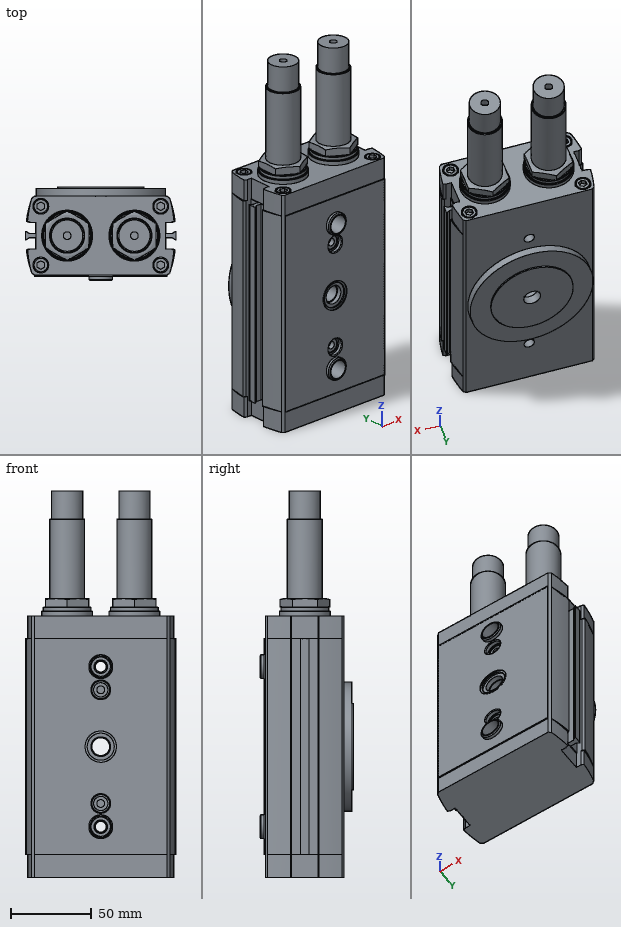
import cadquery as cq
import math


housing_height = 163.4
cap_height = 14.2
body_height = housing_height - 2 * cap_height
half_depth = 24.5
front_raise = 0.7
front_y = -half_depth - front_raise
front_half_width = 41.5
corner_half_width = 43.2
corner_height = 1.5
body_half_width = 47.0
cap_half_width = 46.0

channel_half_height = 8.2
channel_mouth_depth = 2.5
channel_mouth_widening = 1.0
body_channel_floor = 40.8
cap_channel_floor = 40.3
rib_neck = 3.0
rib_head = 5.3
rib_flare_start = 44.6
rib_head_start = 46.5

screw_x = 37.5
screw_y = 18.3
screw_hole_diameter = 10.0
screw_head_diameter = 8.5
screw_gap_depth = 1.2
screw_socket_width = 4.5
screw_socket_depth = 3.0

rotor_z = housing_height / 2

sleeve_offset = 50.0
sleeve_diameter = 15.0
sleeve_projection = 2.7
sleeve_chamfer = 0.7
sleeve_bore = 12.0
sleeve_bore_depth = 17.0
through_bore = 6.8
through_countersink = 8.5

port_offset = 35.5
port_mouth_diameter = 12.3
port_recess_diameter = 11.0
port_recess_depth = 3.0
port_bore = 9.0
port_bore_depth = 3.5
port_channel = 4.8
port_channel_depth = 7.2

centre_mouth_diameter = 19.5
centre_mouth_depth = 0.7
centre_recess_diameter = 17.0
centre_recess_depth = 1.7
centre_bore = 12.3
centre_bore_depth = 4.8
centre_through = 11.0

flange_diameter = 80.8
flange_thickness = 4.8
pilot_diameter = 54.0
pilot_height = 1.0

damper_spacing = 42.0
seal_diameter = 31.9
seal_top = 166.5
washer_diameter = 30.0
washer_chamfer = 0.5
nut_bottom = 169.0
nut_top = 174.2
nut_across_flats = 27.0
nut_top_diameter = 25.5
nut_chamfer_height = 0.7
barrel_diameter = 22.0
barrel_top = 224.0
barrel_chamfer = 0.5
end_diameter = 19.5
end_top = 241.3
adjuster_diameter = 4.8
adjuster_depth = 4.8

hexagon_ratio = 1 / math.cos(math.pi / 6)


def front_plane(y, z):
    """Plane whose normal points into the housing, along +Y."""
    return cq.Plane(origin=(0, y, z), xDir=(1, 0, 0), normal=(0, 1, 0))


def bore_into(diameter, z, y, depth):
    """Cylinder along +Y that starts at y."""
    return cq.Workplane(front_plane(y, z)).circle(diameter / 2).extrude(depth)


def countersink_into(mouth_diameter, diameter, z, y):
    """45-degree cone along +Y that narrows from mouth_diameter at y to diameter."""
    depth = (mouth_diameter - diameter) / 2
    return cq.Workplane(front_plane(y, z)).circle(mouth_diameter / 2).extrude(depth, taper=45)


def post(diameter, bottom, top):
    """Upright cylinder on the Z axis."""
    return cq.Workplane("XY", origin=(0, 0, bottom)).circle(diameter / 2).extrude(top - bottom)


def bowed_block(half_width, bottom, top):
    """Block with bowed sides and cut corners."""
    side_y = half_depth - corner_height
    return (
        cq.Workplane("XY", origin=(0, 0, bottom))
        .moveTo(-front_half_width, -half_depth)
        .lineTo(front_half_width, -half_depth)
        .lineTo(corner_half_width, -side_y)
        .threePointArc((half_width, 0), (corner_half_width, side_y))
        .lineTo(front_half_width, half_depth)
        .lineTo(-front_half_width, half_depth)
        .lineTo(-corner_half_width, side_y)
        .threePointArc((-half_width, 0), (-corner_half_width, -side_y))
        .close()
        .extrude(top - bottom)
    )


def channel(floor, half_width, bottom, top):
    """Cutter for the +X side channel, with a slightly flared mouth."""
    mouth_start = half_width - channel_mouth_depth
    mouth_half_height = channel_half_height + channel_mouth_widening
    return (
        cq.Workplane("XY", origin=(0, 0, bottom))
        .polyline([
            (floor, -channel_half_height),
            (mouth_start, -channel_half_height),
            (half_width, -mouth_half_height),
            (half_width, mouth_half_height),
            (mouth_start, channel_half_height),
            (floor, channel_half_height),
        ])
        .close()
        .extrude(top - bottom)
    )


def dovetail_rib():
    """Rib on the floor of the +X side channel, widest at its outer face."""
    upper_side = [
        (body_channel_floor, rib_neck / 2),
        (rib_flare_start, rib_neck / 2),
        (rib_head_start, rib_head / 2),
        (body_half_width, rib_head / 2),
    ]
    lower_side = [(x, -y) for x, y in reversed(upper_side)]
    return (
        cq.Workplane("XY", origin=(0, 0, cap_height))
        .polyline(upper_side + lower_side)
        .close()
        .extrude(body_height)
    )


def make_cap(bottom):
    top = bottom + cap_height
    cap = bowed_block(cap_half_width, bottom, top)
    cutter = channel(cap_channel_floor, cap_half_width, bottom, top)
    return cap.cut(cutter).cut(cutter.mirror("YZ"))


def make_body():
    body_top = cap_height + body_height
    raised_front = (
        cq.Workplane("XY", origin=(0, front_y, cap_height))
        .box(2 * front_half_width, half_depth, body_height, centered=(True, False, False))
    )
    body = bowed_block(body_half_width, cap_height, body_top).union(raised_front)
    cutter = channel(body_channel_floor, body_half_width, cap_height, body_top)
    rib = dovetail_rib()
    body = body.cut(cutter).cut(cutter.mirror("YZ"))
    return body.union(rib).union(rib.mirror("YZ"))


def cut_cap_screws(shell):
    gap = post(screw_hole_diameter, housing_height - screw_gap_depth, housing_height)
    gap = gap.cut(post(screw_head_diameter, housing_height - screw_gap_depth, housing_height))
    socket = (
        cq.Workplane("XY", origin=(0, 0, housing_height - screw_socket_depth))
        .polygon(6, screw_socket_width * hexagon_ratio)
        .extrude(screw_socket_depth)
        .rotate((0, 0, 0), (0, 0, 1), 90)
    )
    for x in (-screw_x, screw_x):
        for y in (-screw_y, screw_y):
            shell = shell.cut(gap.translate((x, y, 0))).cut(socket.translate((x, y, 0)))
    return shell


def add_sleeve(shell, z):
    tip_y = front_y - sleeve_projection
    floor_y = tip_y + sleeve_bore_depth
    sleeve = bore_into(sleeve_diameter, z, tip_y, sleeve_bore_depth).faces("<Y").chamfer(sleeve_chamfer)
    return (
        shell.union(sleeve)
        .cut(bore_into(sleeve_bore, z, tip_y, sleeve_bore_depth))
        .cut(countersink_into(through_countersink, through_bore, z, floor_y))
        .cut(bore_into(through_bore, z, floor_y, half_depth - floor_y))
    )


def cut_port(shell, z):
    return (
        shell.cut(countersink_into(port_mouth_diameter, port_recess_diameter, z, front_y))
        .cut(bore_into(port_recess_diameter, z, front_y, port_recess_depth))
        .cut(bore_into(port_bore, z, front_y, port_bore_depth))
        .cut(bore_into(port_channel, z, front_y, port_channel_depth))
    )


def cut_centre(shell):
    return (
        shell.cut(bore_into(centre_mouth_diameter, rotor_z, front_y, centre_mouth_depth))
        .cut(bore_into(centre_recess_diameter, rotor_z, front_y, centre_recess_depth))
        .cut(bore_into(centre_bore, rotor_z, front_y, centre_bore_depth))
        .cut(bore_into(centre_through, rotor_z, front_y, half_depth - front_y))
    )


def make_housing():
    shell = make_body().union(make_cap(0)).union(make_cap(housing_height - cap_height))
    shell = cut_centre(cut_cap_screws(shell))
    for side in (-1, 1):
        shell = add_sleeve(shell, rotor_z + side * sleeve_offset)
        shell = cut_port(shell, rotor_z + side * port_offset)
    return shell


def make_flange():
    full_height = flange_thickness + pilot_height
    return (
        bore_into(flange_diameter, rotor_z, half_depth, flange_thickness)
        .union(bore_into(pilot_diameter, rotor_z, half_depth, full_height))
        .cut(bore_into(centre_through, rotor_z, half_depth, full_height))
    )


def make_nut():
    """Hexagon nut with corners toward +Y and -Y and a conical top edge."""
    across_corners = nut_across_flats * hexagon_ratio
    hexagon = (
        cq.Workplane("XY", origin=(0, 0, nut_bottom))
        .polygon(6, across_corners)
        .extrude(nut_top - nut_bottom)
        .rotate((0, 0, 0), (0, 0, 1), 90)
    )
    cone_width = (across_corners - nut_top_diameter) / 2
    envelope = post(across_corners, nut_bottom, nut_top)
    envelope = envelope.faces(">Z").edges().chamfer(nut_chamfer_height, cone_width)
    return hexagon.intersect(envelope)


def make_damper(x):
    seal = post(seal_diameter, housing_height, seal_top).faces(">Z").chamfer(washer_chamfer)
    washer = post(washer_diameter, seal_top, nut_bottom).faces(">Z").chamfer(washer_chamfer)
    barrel = post(barrel_diameter, nut_top, barrel_top).faces(">Z").chamfer(barrel_chamfer)
    damper = (
        seal.union(washer)
        .union(make_nut())
        .union(barrel)
        .union(post(end_diameter, barrel_top, end_top))
        .cut(post(adjuster_diameter, end_top - adjuster_depth, end_top))
    )
    return damper.translate((x, 0, 0))


housing = make_housing()
flange = make_flange()
dampers = [make_damper(side * damper_spacing / 2) for side in (-1, 1)]

result = cq.Compound.makeCompound([housing.val(), flange.val(), *[damper.val() for damper in dampers]])